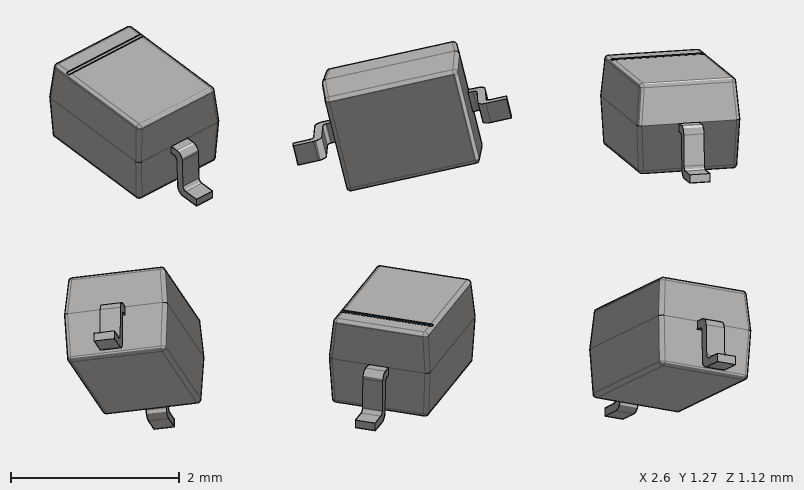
import cadquery as cq
import math

body_length = 1.672
body_width = 1.27
body_bottom = 0.02
parting_height = 0.621
body_top = 1.12
upper_draft = 5
lower_draft = 3
edge_radius = 0.05

groove_width = 0.05
groove_length = 1.16
groove_depth = 0.01
groove_x = -0.538

lead_span = 2.6
lead_width = 0.25
lead_thickness = 0.101
lead_lean = 2
shoulder_x = 1.035
inner_bend_radius = 0.05
outer_bend_radius = 0.1
lead_embed = 0.052


def body_half(height, draft):
    """Half of the body, narrowing as it rises from z = 0, with rounded edges."""
    return (
        cq.Workplane("XY")
        .rect(body_length, body_width)
        .extrude(height, taper=draft)
        .edges("not <Z")
        .fillet(edge_radius)
    )


def make_body():
    upper = body_half(body_top - parting_height, upper_draft)
    lower = body_half(parting_height - body_bottom, lower_draft).mirror("XY")
    return upper.union(lower).translate((0, 0, parting_height))


def make_groove():
    return cq.Workplane("XY", origin=(groove_x, 0, body_top)).box(
        groove_width, groove_length, 2 * groove_depth
    )


def make_lead():
    """Lead on the +X side: shoulder, leaning leg and flat foot."""
    root_x = body_length / 2 - lead_embed
    tip_x = lead_span / 2
    shoulder_bottom = parting_height - lead_thickness
    lean_slope = math.tan(math.radians(lead_lean))
    leg_width = lead_thickness / math.cos(math.radians(lead_lean))

    def leg_outer_x(z):
        return shoulder_x + (parting_height - z) * lean_slope

    def leg_inner_x(z):
        return leg_outer_x(z) - leg_width

    shoulder_outer = (leg_outer_x(parting_height), parting_height)
    shoulder_inner = (leg_inner_x(shoulder_bottom), shoulder_bottom)
    heel_outer = (leg_inner_x(0), 0)
    heel_inner = (leg_outer_x(lead_thickness), lead_thickness)

    lead = (
        cq.Workplane("XZ")
        .polyline([
            (root_x, parting_height),
            shoulder_outer,
            heel_inner,
            (tip_x, lead_thickness),
            (tip_x, 0),
            heel_outer,
            shoulder_inner,
            (root_x, shoulder_bottom),
        ])
        .close()
        .extrude(lead_width / 2, both=True)
    )
    bends = (
        (shoulder_outer, outer_bend_radius),
        (heel_outer, outer_bend_radius),
        (shoulder_inner, inner_bend_radius),
        (heel_inner, inner_bend_radius),
    )
    for (x, z), radius in bends:
        bend_edge = cq.selectors.NearestToPointSelector((x, 0, z))
        lead = lead.edges("|Y").edges(bend_edge).fillet(radius)
    return lead


right_lead = make_lead()
left_lead = right_lead.mirror("YZ")

result = make_body().cut(make_groove()).union(right_lead).union(left_lead)